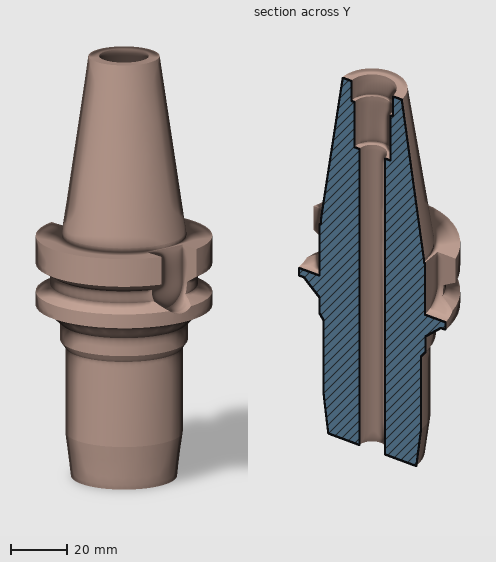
import cadquery as cq

total_height = 155.1
nose_taper_top = 16.3
body_top = 47.8
collar_chamfer_top = 50.4
collar_top = 57.0
flange_bottom = 63.1
groove_lower_rim = 68.2
groove_floor_bottom = 71.0
groove_floor_top = 75.4
groove_upper_rim = 78.5
flange_top = 88.7
shank_taper_bottom = 90.1

nose_radius = 18.9
body_radius = 21.0
collar_radius = 22.8
flange_cone_radius = 29.3
flange_radius = 31.5
groove_radius = 26.4
shank_large_radius = 22.2
shank_small_radius = 12.7

through_radius = 5.5
thread_radius = 7.6
counterbore_radius = 8.8
counterbore_depth = 8.5
thread_depth = 27.9

slot_width = 16.3
slot_floor_x = 22.6
slot_bottom = 66.5


def make_body():
    """Revolve the tool holder's outer profile about Z."""
    profile = [
        (0, 0),
        (nose_radius, 0),
        (body_radius, nose_taper_top),
        (body_radius, body_top),
        (collar_radius, collar_chamfer_top),
        (collar_radius, collar_top),
        (flange_cone_radius, flange_bottom),
        (flange_radius, flange_bottom),
        (flange_radius, groove_lower_rim),
        (groove_radius, groove_floor_bottom),
        (groove_radius, groove_floor_top),
        (flange_radius, groove_upper_rim),
        (flange_radius, flange_top),
        (shank_large_radius, flange_top),
        (shank_large_radius, shank_taper_bottom),
        (shank_small_radius, total_height),
        (0, total_height),
    ]
    return cq.Workplane("XZ").polyline(profile).close().revolve(360, (0, 0), (0, 1))


def make_bore():
    """Through hole with two wider steps at the small end of the shank."""
    bore = cq.Workplane("XY").circle(through_radius).extrude(total_height)
    for radius, depth in ((thread_radius, thread_depth), (counterbore_radius, counterbore_depth)):
        step = cq.Workplane("XY", origin=(0, 0, total_height - depth)).circle(radius).extrude(depth)
        bore = bore.union(step)
    return bore


def make_drive_slot():
    """Round-bottomed slot on the +X side, open at the flange top and rim."""
    half_width = slot_width / 2
    arc_center_z = slot_bottom + half_width
    return (
        cq.Workplane("YZ", origin=(slot_floor_x, 0, 0))
        .moveTo(-half_width, flange_top)
        .lineTo(-half_width, arc_center_z)
        .threePointArc((0, slot_bottom), (half_width, arc_center_z))
        .lineTo(half_width, flange_top)
        .close()
        .extrude(flange_radius - slot_floor_x)
    )


result = make_body().cut(make_bore())
for angle in (0, 180):
    result = result.cut(make_drive_slot().rotate((0, 0, 0), (0, 0, 1), angle))